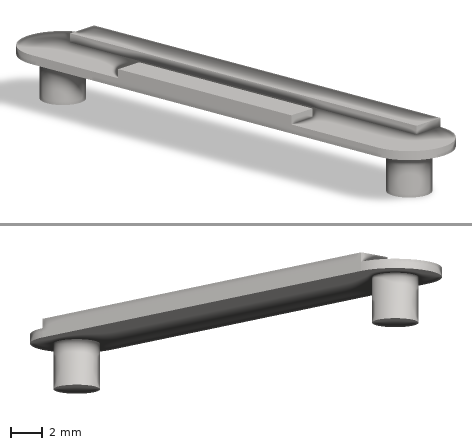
import cadquery as cq

plate_length = 36.0
plate_width = 6.0
plate_thickness = 0.6
straight_length = plate_length - plate_width

strip_height = 0.6
long_strip_length = straight_length
long_strip_width = 2.3
short_strip_length = straight_length / 2
short_strip_width = 2.0

pin_diameter = 3.0
pin_length = 3.0
pin_spacing = straight_length


def edge_strip(length, width, side):
    """Raised strip along the +Y edge (side = 1) or the -Y edge (side = -1)."""
    center_y = side * (plate_width - width) / 2
    return (
        cq.Workplane("XY", origin=(0, center_y, plate_thickness))
        .rect(length, width)
        .extrude(strip_height)
    )


def pins():
    """Both pins, hanging down from the underside of the plate."""
    return (
        cq.Workplane("XY")
        .pushPoints([(-pin_spacing / 2, 0), (pin_spacing / 2, 0)])
        .circle(pin_diameter / 2)
        .extrude(-pin_length)
    )


plate = cq.Workplane("XY").slot2D(plate_length, plate_width).extrude(plate_thickness)

result = (
    plate
    .union(edge_strip(long_strip_length, long_strip_width, 1))
    .union(edge_strip(short_strip_length, short_strip_width, -1))
    .union(pins())
)